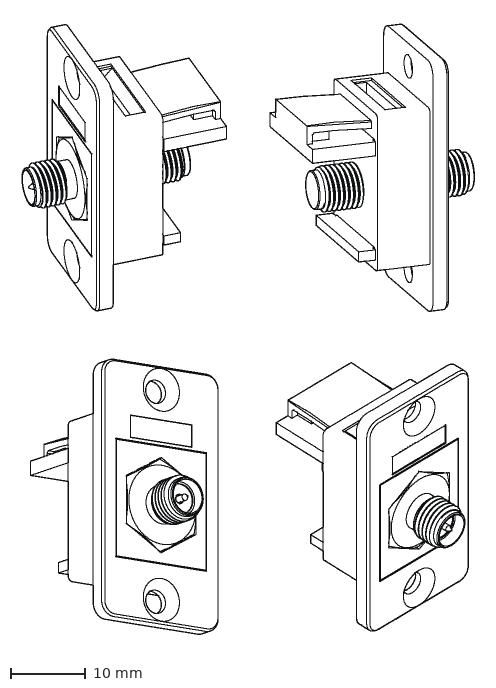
import cadquery as cq
import math


plate_width = 19.0
plate_height = 35.5
plate_thickness = 2.35
plate_corner_radius = 2.0
plate_bevel_depth = 0.35
plate_bevel_inset = 0.3
screw_hole_diameter = 3.2
screw_head_diameter = 5.9
screw_head_depth = 1.35
screw_offset = 14.5

label_width = 10.0
label_height = 3.05
label_center_z = 8.8
label_depth = 0.18
insert_width = 14.77
insert_height = 16.33
insert_center_z = -1.35
insert_groove_width = 0.1
insert_groove_depth = 0.2

body_width = 16.75
body_height = 22.22
body_corner_radius = 0.7
body_back = 9.87

window_width = 13.0
window_front = 5.2
window_back = 8.1
window_depth = 0.35
latch_slot_front = 6.1

ledge_width = 16.33
ledge_top = 7.3
ledge_thickness = 2.0
ledge_back = 19.1
foot_top = -8.0
foot_thickness = 1.45
foot_back = 12.5
notch_length = 0.2
notch_width = 1.0

arm_width = 11.95
arm_top = 9.95
arm_thickness = 1.1
arm_drop = 0.35
arm_flat_length = 3.95
arm_wall = 0.78
arm_inner_chamfer = 0.3
arm_bevel_start = 0.07
arm_bevel_drop = 0.45
arm_bevel_inset = 0.35
arm_bevel_height = 0.45
block_width = 9.95
block_front = 15.6

axis_z = -1.42
barrel_diameter = 5.3
barrel_front = -6.2
barrel_back = 16.1
barrel_chamfer = 0.15
thread_diameter = 6.25
thread_pitch = 0.7
thread_crest = 0.1
thread_base = 0.67
thread_overlap = 0.07
thread_clearance = 0.07
thread_end_taper = 0.43
front_thread_start = -5.45
front_thread_end = -1.65
front_thread_crest = -5.0
rear_thread_start = 8.88
rear_thread_end = 15.23
rear_thread_crest = 10.08
socket_diameter = 4.65
socket_depth = 1.7
recess_diameter = 4.1
recess_depth = 1.88
pin_hole_diameter = 1.28
pin_hole_depth = 2.25
pin_diameter = 0.9
pin_tip_diameter = 0.18
pin_tip_length = 0.67

nut_across_flats = 11.15
nut_pocket_across_flats = 11.35
nut_proud = 0.2
nut_face_diameter = 10.9
nut_bevel_angle = 30.0
nut_sunk_depth = 1.05


def box(width, y_front, y_back, z_bottom, z_top):
    """Box centred on X between the given Y and Z limits."""
    return (
        cq.Workplane("XY")
        .box(width, y_back - y_front, z_top - z_bottom, centered=(True, False, False))
        .translate((0, y_front, z_bottom))
    )


def prism_along_x(width, points_yz):
    """Outline in the YZ plane extruded symmetrically about X = 0."""
    return cq.Workplane("YZ").polyline(points_yz).close().extrude(width / 2, both=True)


def turned(points_ry, center_z=axis_z):
    """Outline of (radius, y) points revolved around a line along Y, by default the connector axis."""
    return (
        cq.Workplane("XY")
        .polyline(points_ry)
        .close()
        .revolve(360, (0, 0, 0), (0, 1, 0))
        .translate((0, 0, center_z))
    )


def make_plate():
    plate = box(plate_width, 0, plate_thickness, -plate_height / 2, plate_height / 2)
    plate = plate.edges("|Y").fillet(plate_corner_radius)
    plate = plate.faces("<Y").chamfer(plate_bevel_inset, plate_bevel_depth)
    return plate


def make_screw_holes():
    """Through holes with conical seats, above and below the connector."""
    hole_radius = screw_hole_diameter / 2
    head_radius = screw_head_diameter / 2
    outline = [
        (0, 0),
        (head_radius, 0),
        (hole_radius, screw_head_depth),
        (hole_radius, plate_thickness),
        (0, plate_thickness),
    ]
    return turned(outline, screw_offset).union(turned(outline, -screw_offset))


def make_front_marks():
    """Label recess and the thin groove framing the insert."""
    label = box(
        label_width, 0, label_depth,
        label_center_z - label_height / 2, label_center_z + label_height / 2,
    )
    outer_half = insert_height / 2
    inner_half = outer_half - insert_groove_width
    inner_width = insert_width - 2 * insert_groove_width
    frame = box(
        insert_width, 0, insert_groove_depth,
        insert_center_z - outer_half, insert_center_z + outer_half,
    )
    core = box(
        inner_width, 0, insert_groove_depth,
        insert_center_z - inner_half, insert_center_z + inner_half,
    )
    return label.union(frame.cut(core))


def make_body():
    body = box(body_width, plate_thickness, body_back, -body_height / 2, body_height / 2)
    body = body.edges("|Y").fillet(body_corner_radius)
    top = body_height / 2
    floor = top - window_depth
    window = box(window_width, window_front, window_back, floor, top)
    slot_depth = window_back - latch_slot_front
    slot = prism_along_x(
        arm_width,
        [
            (latch_slot_front, floor),
            (window_back, floor),
            (latch_slot_front, floor - slot_depth),
        ],
    )
    return body.cut(window).cut(slot)


def make_ledge(top, thickness, back):
    """Flat ledge with its front corners notched where it meets the body."""
    shoulder = box(ledge_width, body_back + notch_length, back, top - thickness, top)
    neck_width = ledge_width - 2 * notch_width
    neck = box(neck_width, body_back, back, top - thickness, top)
    return shoulder.union(neck)


def make_latch_arm():
    """Arm rising from the ledge and sloping down towards the body."""
    knee = ledge_back - arm_flat_length
    wall_front = ledge_back - arm_wall
    underside = arm_top - arm_thickness
    arm = prism_along_x(
        arm_width,
        [
            (ledge_back, ledge_top),
            (ledge_back, arm_top),
            (knee, arm_top),
            (body_back, arm_top - arm_drop),
            (body_back, underside - arm_drop),
            (knee, underside),
            (wall_front - arm_inner_chamfer, underside),
            (wall_front, underside - arm_inner_chamfer),
            (wall_front, ledge_top),
        ],
    )
    block = box(block_width, block_front, wall_front, ledge_top, underside)
    arm = arm.union(block)
    run = ledge_back - body_back
    for side in (-1, 1):
        plane = cq.Plane(
            origin=(side * arm_width / 2, ledge_back, arm_top - arm_bevel_start),
            xDir=(1, 0, 0),
            normal=(0, -run, -arm_bevel_drop),
        )
        wedge = (
            cq.Workplane(plane)
            .polyline([(0, 0), (-arm_bevel_inset, arm_bevel_height), (arm_bevel_inset, arm_bevel_height)])
            .close()
            .extrude(math.hypot(run, arm_bevel_drop))
        )
        arm = arm.cut(wedge)
    return arm


def hexagon_block(across_flats):
    """Hexagon with two vertical flats, from the sunk back of the nut to its proud front."""
    corner_diameter = across_flats / math.cos(math.pi / 6)
    return (
        cq.Workplane("XZ", origin=(0, nut_sunk_depth, axis_z))
        .polygon(6, corner_diameter)
        .extrude(nut_sunk_depth + nut_proud)
        .rotate((0, 0, axis_z), (0, 1, axis_z), 30)
    )


def make_nut():
    """Hexagon whose front corners are bevelled by a cone."""
    face_radius = nut_face_diameter / 2
    length = nut_sunk_depth + nut_proud
    base_radius = face_radius + length / math.tan(math.radians(nut_bevel_angle))
    cone = turned(
        [
            (0, -nut_proud),
            (face_radius, -nut_proud),
            (base_radius, nut_sunk_depth),
            (0, nut_sunk_depth),
        ]
    )
    return hexagon_block(nut_across_flats).intersect(cone)


def make_barrel():
    radius = barrel_diameter / 2
    edge_radius = radius - barrel_chamfer
    return turned(
        [
            (0, barrel_front),
            (edge_radius, barrel_front),
            (radius, barrel_front + barrel_chamfer),
            (radius, barrel_back - barrel_chamfer),
            (edge_radius, barrel_back),
            (0, barrel_back),
        ]
    )


def make_thread(y_start, y_end, y_crest):
    """Right-handed V thread along +Y with tapered ends; its ridge is on top of the barrel at y_crest."""
    root_radius = barrel_diameter / 2 - thread_overlap
    crest_radius = thread_diameter / 2
    turns_before = math.ceil((y_crest - y_start) / thread_pitch) + 1
    helix_start = y_crest - turns_before * thread_pitch
    helix = cq.Wire.makeHelix(thread_pitch, y_end + thread_pitch - helix_start, root_radius)
    ridge = (
        cq.Workplane("XZ")
        .polyline(
            [
                (root_radius, -thread_base / 2),
                (crest_radius, -thread_crest / 2),
                (crest_radius, thread_crest / 2),
                (root_radius, thread_base / 2),
            ]
        )
        .close()
        .sweep(cq.Workplane(helix), isFrenet=True)
    )
    ridge = ridge.rotate((0, 0, 0), (0, 0, 1), -90)
    ridge = ridge.rotate((0, 0, 0), (1, 0, 0), -90)
    ridge = ridge.translate((0, helix_start, axis_z))
    barrel_radius = barrel_diameter / 2
    clear_radius = crest_radius + thread_clearance
    envelope = turned(
        [
            (0, y_start),
            (barrel_radius, y_start),
            (clear_radius, y_start + thread_end_taper),
            (clear_radius, y_end - thread_end_taper),
            (barrel_radius, y_end),
            (0, y_end),
        ]
    )
    return ridge.intersect(envelope)


def make_socket():
    """Stepped socket around a pointed centre pin that ends flush with the mouth."""
    shoulder = barrel_front + socket_depth
    floor = barrel_front + recess_depth
    pin_base = barrel_front + pin_hole_depth
    pin_radius = pin_diameter / 2
    return turned(
        [
            (pin_tip_diameter / 2, barrel_front),
            (socket_diameter / 2, barrel_front),
            (socket_diameter / 2, shoulder),
            (recess_diameter / 2, shoulder),
            (recess_diameter / 2, floor),
            (pin_hole_diameter / 2, floor),
            (pin_hole_diameter / 2, pin_base),
            (pin_radius, pin_base),
            (pin_radius, barrel_front + pin_tip_length),
        ]
    )


result = make_plate().cut(make_screw_holes()).cut(make_front_marks())
result = result.union(make_body())
result = result.union(make_ledge(ledge_top, ledge_thickness, ledge_back))
result = result.union(make_ledge(foot_top, foot_thickness, foot_back))
result = result.union(make_latch_arm())
result = result.cut(hexagon_block(nut_pocket_across_flats)).union(make_nut())
result = result.union(make_barrel())
result = result.union(make_thread(front_thread_start, front_thread_end, front_thread_crest))
result = result.union(make_thread(rear_thread_start, rear_thread_end, rear_thread_crest))
result = result.cut(make_socket())